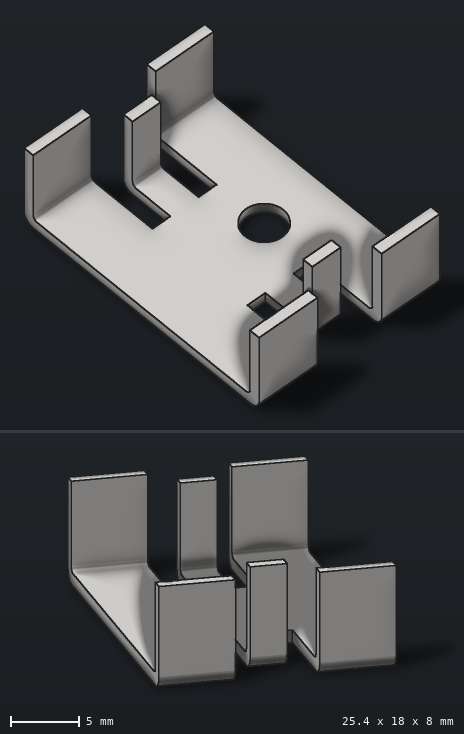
import cadquery as cq

length = 25.4
width = 18.0
height = 8.0
thickness = 1.0

outer_bend_radius = 1.0
inner_bend_radius = 0.45

middle_span = 20.42
middle_arm_width = 2.82
slot_width = 1.78
web_length = 10.25

hole_diameter = 3.8
hole_offset_y = 3.2

outer_arm_width = (width - middle_arm_width) / 2 - slot_width
outer_arm_y = (width - outer_arm_width) / 2


def channel(span, depth, center_y):
    """U-shaped strip with upright arms, its floor resting on Z = 0."""
    outside = (
        cq.Workplane("XY")
        .box(span, depth, height, centered=(True, True, False))
        .edges("|Y and <Z")
        .fillet(outer_bend_radius)
    )
    inside = (
        cq.Workplane("XY")
        .workplane(offset=thickness)
        .box(span - 2 * thickness, depth, height, centered=(True, True, False))
        .edges("|Y and <Z")
        .fillet(inner_bend_radius)
    )
    return outside.cut(inside).translate((0, center_y, 0))


result = cq.Workplane("XY").box(web_length, width, thickness, centered=(True, True, False))
result = result.union(channel(middle_span, middle_arm_width, 0))
for side in (-1, 1):
    result = result.union(channel(length, outer_arm_width, side * outer_arm_y))

hole = cq.Workplane("XY").center(0, hole_offset_y).circle(hole_diameter / 2).extrude(thickness)
result = result.cut(hole).clean()